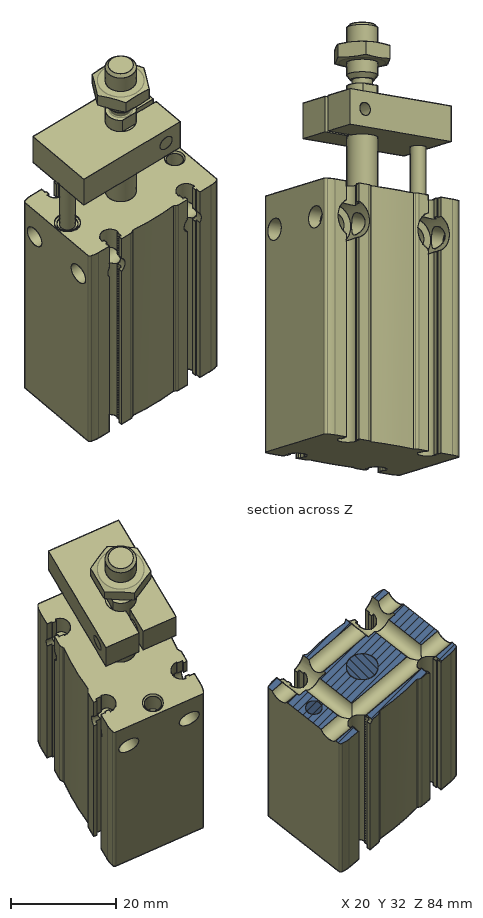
import cadquery as cq
import math


total_height = 84.0
body_width = 20.0
body_length = 32.0
body_height = 50.1
bracket_base = 62.0
bracket_height = 7.0
bracket_top = bracket_base + bracket_height
half_width = body_width / 2
half_length = body_length / 2

corner_length = 2.0
corner_inset = 0.25
corner_radius = 0.5
mount_spacing = 19.0
groove_diameter = 3.95
groove_depth = 3.9
inner_lip_depth = 0.75
outer_lip_depth = 1.0
lip_inner = 8.2
lip_outer = 11.25
throat_outer = 11.0
throat_inner = 7.7
panel_edge = 6.0
shoulder_edge = 5.4
shoulder_inset = 0.25
crown_edge = 5.0
panel_inset = 0.4
crown_inset = 0.2

cross_hole_height = 43.0
cross_hole_diameter = 4.3
counterbore_diameter = 7.5
counterbore_depth = 6.0
end_hole_spacing = 12.9
port_offset = 13.4
port_diameter = 3.3
port_mouth_diameter = 3.95
port_depth = 5.0

rod_diameter = 6.0
rod_foot = 37.8
flat_width = 4.95
shoulder_height = 72.0
neck_diameter = 3.95
neck_fillet = 0.25
cone_base = 73.25
cone_top = 74.2
cone_small_diameter = 4.5
tip_chamfer = 0.6

pin_diameter = 3.0
pin_offset = 13.3
pin_foot = rod_foot
pin_socket_depth = bracket_height / 2
pin_recess_diameter = 4.95
pin_recess_depth = 0.25
pin_clearance_diameter = 4.0
pin_clearance_depth = 0.5

bracket_width = 15.0
bracket_back = 8.5
bracket_front = -15.5
clamp_slot_width = 0.8
screw_diameter = 3.0
screw_offset = 4.95
screw_hole_diameter = 2.5
screw_height = bracket_base + bracket_height / 2
screw_tip = -clamp_slot_width / 2

nut_base = 76.6
nut_height = 3.2
nut_across_flats = 10.0
nut_face_diameter = 8.9
nut_chamfer_height = 0.3


def cylinder_z(diameter, bottom, top, y=0.0):
    return cq.Workplane("XY", origin=(0, y, bottom)).circle(diameter / 2).extrude(top - bottom)


def cylinder_x(diameter, start, end, y, z):
    return cq.Workplane("YZ", origin=(start, y, z)).circle(diameter / 2).extrude(end - start)


def body_blank():
    """Bar whose sides ease inwards along an arc towards a rounded corner."""
    arc_start = half_length - corner_length
    arc_end = (half_width - corner_inset, half_length - corner_radius)
    quarter = (
        cq.Workplane("XY")
        .lineTo(half_width, 0)
        .lineTo(half_width, arc_start)
        .tangentArcPoint(arc_end, relative=False)
        .radiusArc((half_width - corner_inset - corner_radius, half_length), -corner_radius)
        .lineTo(0, half_length)
        .close()
        .extrude(body_height)
    )
    half = quarter.union(quarter.mirror("YZ"))
    return half.union(half.mirror("XZ")).clean()


def side_panel_cut():
    """Shallow relief with a crowned floor along the middle of the +X side."""
    panel_x = half_width - panel_inset
    shoulder = (half_width - shoulder_inset, shoulder_edge)
    shoulder_run = panel_edge - shoulder_edge
    shoulder_radius = (shoulder_inset**2 + shoulder_run**2) / (2 * shoulder_inset)
    half = (
        cq.Workplane("XY")
        .moveTo(half_width, 0)
        .lineTo(half_width, panel_edge)
        .radiusArc(shoulder, shoulder_radius)
        .lineTo(panel_x, crown_edge)
        .lineTo(panel_x, 0)
        .close()
        .extrude(body_height)
    )
    crown_rise = panel_inset - crown_inset
    crown = (
        cq.Workplane("XY")
        .moveTo(panel_x, -crown_edge)
        .threePointArc((panel_x + crown_rise, 0), (panel_x, crown_edge))
        .close()
        .extrude(body_height)
    )
    return half.union(half.mirror("XZ")).cut(crown)


def groove_cut():
    """Mouth, throat and half-round floor of the groove on the +X, +Y side."""
    inner_lip_x = half_width - inner_lip_depth
    outer_lip_x = half_width - outer_lip_depth
    round_radius = groove_diameter / 2
    round_x = half_width - groove_depth + round_radius
    round_y = mount_spacing / 2
    return (
        cq.Workplane("XY")
        .moveTo(half_width, lip_inner)
        .lineTo(inner_lip_x, lip_inner)
        .lineTo(inner_lip_x, throat_inner)
        .lineTo(round_x, throat_inner)
        .lineTo(round_x, round_y - round_radius)
        .threePointArc((round_x - round_radius, round_y), (round_x, round_y + round_radius))
        .lineTo(round_x, throat_outer)
        .lineTo(outer_lip_x, throat_outer)
        .lineTo(outer_lip_x, lip_outer)
        .lineTo(half_width, lip_outer)
        .close()
        .extrude(body_height)
    )


def countersink(mouth_diameter, hole_diameter, y):
    """45 degree cone that opens a hole in the top face from hole to mouth diameter."""
    depth = (mouth_diameter - hole_diameter) / 2
    base = cq.Vector(0, y, body_height - depth)
    return cq.Solid.makeCone(hole_diameter / 2, mouth_diameter / 2, depth, base)


def make_body():
    body = body_blank()

    panel = side_panel_cut()
    groove = groove_cut()
    side = panel.union(groove).union(groove.mirror("XZ"))
    body = body.cut(side).cut(side.mirror("YZ"))

    for y in (-mount_spacing / 2, mount_spacing / 2):
        hole = cylinder_x(cross_hole_diameter, -half_width, half_width, y, cross_hole_height)
        seat = -half_width + counterbore_depth
        counterbore = cylinder_x(counterbore_diameter, -half_width, seat, y, cross_hole_height)
        body = body.cut(hole).cut(counterbore)

    end_holes = (
        cq.Workplane("XZ", origin=(0, half_length, cross_hole_height))
        .pushPoints([(-end_hole_spacing / 2, 0), (end_hole_spacing / 2, 0)])
        .circle(cross_hole_diameter / 2)
        .extrude(body_length)
    )
    body = body.cut(end_holes)

    port = cylinder_z(port_diameter, body_height - port_depth, body_height, port_offset)
    body = body.cut(port).cut(countersink(port_mouth_diameter, port_diameter, port_offset))

    clearance_floor = body_height - pin_clearance_depth
    body = body.cut(cylinder_z(rod_diameter, rod_foot, body_height))
    body = body.cut(cylinder_z(pin_diameter, pin_foot, body_height, -pin_offset))
    body = body.cut(
        cylinder_z(pin_clearance_diameter, clearance_floor, body_height, -pin_offset)
    )
    recess_floor = body_height - pin_recess_depth
    return body.cut(cylinder_z(pin_recess_diameter, recess_floor, body_height, -pin_offset))


def make_rod():
    rod_radius = rod_diameter / 2
    neck_radius = neck_diameter / 2
    fillet_reach = neck_fillet * (1 - math.sqrt(0.5))
    rod = (
        cq.Workplane("XZ")
        .moveTo(0, rod_foot)
        .lineTo(rod_radius, rod_foot)
        .lineTo(rod_radius, shoulder_height)
        .lineTo(neck_radius + neck_fillet, shoulder_height)
        .threePointArc(
            (neck_radius + fillet_reach, shoulder_height + fillet_reach),
            (neck_radius, shoulder_height + neck_fillet),
        )
        .lineTo(neck_radius, cone_base)
        .lineTo(cone_small_diameter / 2, cone_base)
        .lineTo(rod_radius, cone_top)
        .lineTo(rod_radius, total_height - tip_chamfer)
        .lineTo(rod_radius - tip_chamfer, total_height)
        .lineTo(0, total_height)
        .close()
        .revolve(360, (0, 0, 0), (0, 1, 0))
    )
    flat_height = shoulder_height - bracket_top
    flats = (
        cq.Workplane("XY", origin=(0, 0, bracket_top))
        .rect(2 * rod_diameter, rod_diameter)
        .rect(flat_width, rod_diameter)
        .extrude(flat_height)
    )
    return rod.cut(flats)


def make_pin():
    return cylinder_z(pin_diameter, pin_foot, bracket_base + pin_socket_depth, -pin_offset)


def make_bracket():
    bracket = cq.Workplane("XY").box(
        bracket_width, bracket_back - bracket_front, bracket_height, centered=(True, False, False)
    )
    bracket = bracket.translate((0, bracket_front, bracket_base))
    slot = cq.Workplane("XY").box(
        clamp_slot_width, bracket_back, bracket_height, centered=(True, False, False)
    )
    bracket = bracket.cut(slot.translate((0, 0, bracket_base)))
    bracket = bracket.cut(cylinder_z(rod_diameter, bracket_base, bracket_top))
    bracket = bracket.cut(make_pin())
    tapped_hole = cylinder_x(
        screw_hole_diameter, -bracket_width / 2, screw_tip, screw_offset, screw_height
    )
    return bracket.cut(tapped_hole).cut(make_screw())


def make_screw():
    return cylinder_x(screw_diameter, screw_tip, bracket_width / 2, screw_offset, screw_height)


def make_nut():
    corner_radius_nut = nut_across_flats / math.sqrt(3)
    face_radius = nut_face_diameter / 2
    prism = (
        cq.Workplane("XY", origin=(0, 0, nut_base))
        .transformed(rotate=(0, 0, 30))
        .polygon(6, 2 * corner_radius_nut)
        .extrude(nut_height)
    )
    nut_top = nut_base + nut_height
    envelope = (
        cq.Workplane("XZ")
        .moveTo(0, nut_base)
        .lineTo(face_radius, nut_base)
        .lineTo(corner_radius_nut, nut_base + nut_chamfer_height)
        .lineTo(corner_radius_nut, nut_top - nut_chamfer_height)
        .lineTo(face_radius, nut_top)
        .lineTo(0, nut_top)
        .close()
        .revolve(360, (0, 0, 0), (0, 1, 0))
    )
    return prism.intersect(envelope).cut(cylinder_z(rod_diameter, nut_base, nut_top))


body = make_body()
rod = make_rod()
pin = make_pin()
bracket = make_bracket()
screw = make_screw()
nut = make_nut()

result = cq.Compound.makeCompound(
    [body.val(), rod.val(), pin.val(), bracket.val(), screw.val(), nut.val()]
)